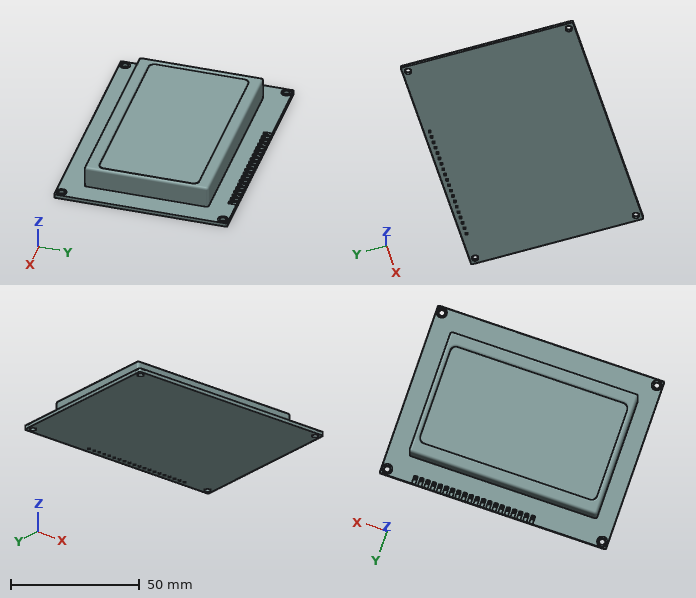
import cadquery as cq

board_length = 93
board_width = 70.0
board_thickness = 1.6
board_corner_radius = 0.6
total_height = 10.5

housing_length = 77.2
housing_width = 50.2
housing_height = total_height - board_thickness
housing_center = (-0.65, -0.2)
edge_radius = 1.0

rim_border_x = 1.3
rim_border_y = 4.0
rim_corner_radius = 3.3
rim_length = housing_length - 2 * rim_border_x
rim_width = housing_width - 2 * rim_border_y
window_depth = 2 * edge_radius
screen_recess = 0.65

pad_height = 0.05

mount_inset = 2.3
mount_hole_diameter = 2.5
mount_pad_diameter = 4.0
mount_points = [
    (side_x * (board_length / 2 - mount_inset), side_y * (board_width / 2 - mount_inset))
    for side_x in (-1, 1)
    for side_y in (-1, 1)
]

pin_count = 20
pin_row_span = 48.3
pin_row_center_x = 8.5
pin_inset = 2.3
pin_hole_diameter = 0.9
pin_pad_width = 1.5
pin_pad_length = 3.35
pin_pad_corner_radius = 0.5
pin_pitch = pin_row_span / (pin_count - 1)
pin_points = [
    (pin_row_center_x - pin_row_span / 2 + i * pin_pitch, board_width / 2 - pin_inset)
    for i in range(pin_count)
]


def make_board():
    board = cq.Workplane("XY").box(
        board_length, board_width, board_thickness, centered=(True, True, False)
    )
    return board.edges("|Z").fillet(board_corner_radius)


def make_window_block(length, width, corner_radius, height):
    """Rounded rectangular block rising from the bottom of the window."""
    return (
        cq.Workplane("XY", origin=(*housing_center, total_height - window_depth))
        .rect(length, width)
        .extrude(height)
        .edges("|Z")
        .fillet(corner_radius)
    )


def make_housing():
    housing = (
        cq.Workplane("XY", origin=(*housing_center, board_thickness))
        .rect(housing_length, housing_width)
        .extrude(housing_height)
        .edges("|Z or >Z")
        .fillet(edge_radius)
    )
    opening = make_window_block(
        rim_length - 2 * edge_radius,
        rim_width - 2 * edge_radius,
        rim_corner_radius - edge_radius,
        window_depth,
    )
    housing = housing.cut(opening)
    opening_wire = housing.faces(">Z").val().innerWires()[0]
    return housing.newObject(opening_wire.Edges()).fillet(edge_radius)


def make_screen():
    """Flat screen filling the window up to part of the way along the rounded rim."""
    return make_window_block(
        rim_length, rim_width, rim_corner_radius, window_depth - screen_recess
    )


def make_mount_pads():
    pads = cq.Workplane("XY", origin=(0, 0, board_thickness))
    return pads.pushPoints(mount_points).circle(mount_pad_diameter / 2).extrude(pad_height)


def make_pin_pads():
    """Pads that start at the board edge and have rounded inner corners."""
    center_y = (board_width - pin_pad_length) / 2
    pads = cq.Workplane("XY", origin=(0, 0, board_thickness))
    return (
        pads.pushPoints([(x, center_y) for x, _ in pin_points])
        .rect(pin_pad_width, pin_pad_length)
        .extrude(pad_height)
        .faces("<Y")
        .edges("|Z")
        .fillet(pin_pad_corner_radius)
    )


def make_holes(points, diameter):
    depth = board_thickness + pad_height
    return cq.Workplane("XY").pushPoints(points).circle(diameter / 2).extrude(depth)


result = (
    make_board()
    .union(make_housing())
    .union(make_screen())
    .union(make_mount_pads())
    .union(make_pin_pads())
    .cut(make_holes(mount_points, mount_hole_diameter))
    .cut(make_holes(pin_points, pin_hole_diameter))
)